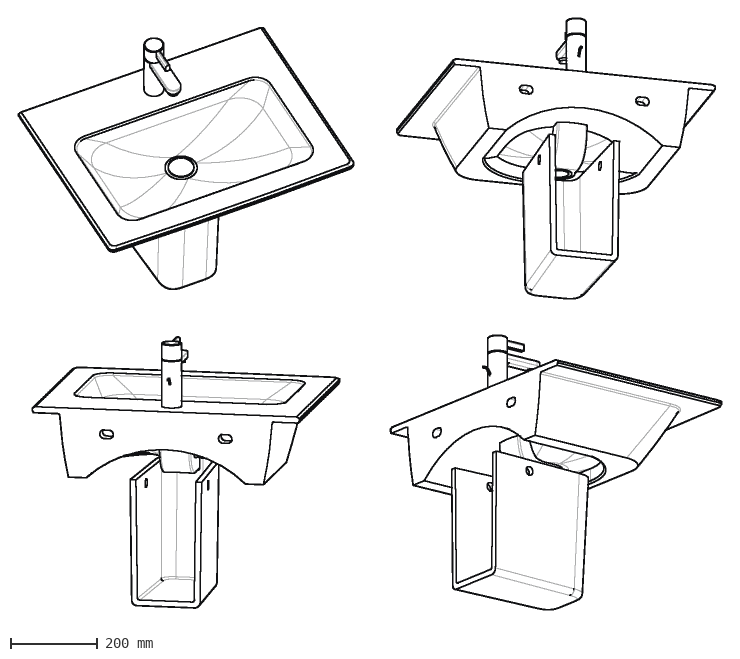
import cadquery as cq


deck_depth = 490.5
deck_half_width = 315.0
deck_bow = 4.0
deck_corner_radius = 12.5
deck_thickness = 14.5
deck_levels = [(0, 7.0), (-4.0, 0), (-9.0, 0), (-deck_thickness, 2.5)]

basin_bottom = -163.0
shell_depth = 432.0
shell_half_width = 251.0
shell_sections = [
    (-deck_thickness, shell_depth, shell_half_width, 50.5),
    (-80.5, 392.5, 244.5, 63.0),
    (basin_bottom, 336.5, 230.0, 69.5),
]
shell_joint_radius = 4.5
joint_margin = 3.0

bowl_back = 133.0
bowl_front = 428.0
bowl_half_width = 250.0
bowl_corner_radius = 40.5
bowl_lip = 4.5
drain_x = 212.5
drain_radius = 37.0
drain_outlet_radius = 36.5
drain_depth = 128.0
bowl_sections = [
    (
        -bowl_lip,
        bowl_back + bowl_lip,
        bowl_front - bowl_lip,
        bowl_half_width - bowl_lip,
        bowl_corner_radius - bowl_lip,
    ),
    (-41.5, 138.0, 397.0, 217.5, 60.0),
    (-97.0, 151.0, 338.5, 145.0, 57.0),
    (-drain_depth, drain_x - drain_radius, drain_x + drain_radius, drain_radius, drain_outlet_radius),
]
bowl_wall = 12.5

arch_top = -89.5
arch_half_width = 188.0
recess_depth = 312.0
recess_corner_radius = 151.0
recess_chamfer = 4.5

duct_half_width = drain_outlet_radius
duct_back = 101.0
duct_top = -82.0
duct_bottom = -176.0
duct_edge_radius = 4.0

slot_length = 31.5
slot_height = 20.0
slot_y = 140.0
slot_z = -58.5
slot_depth = 31.5

drain_flange_thickness = 6.0
drain_tube_diameter = 60.0
drain_bore_diameter = 44.0
plug_diameter = 60.0
plug_edge_height = 2.5
plug_rise = 6.0

pedestal_top = basin_bottom
pedestal_bottom = -460.0
pedestal_wall = 14.0
pedestal_flat_half_width = 30.0
pedestal_upper = (pedestal_top, 84.5, 74.5, 249.5, 298.0)
pedestal_lower = (pedestal_bottom, 80.5, 72.5, 236.0, 280.0)
pedestal_edge_radius = 13.0
pedestal_inner_edge_radius = 5.0
pedestal_hole_diameter = 20.0
pedestal_hole_x = 100.0
pedestal_hole_z = -190.0

tap_x = 69.0
tap_diameter = 46.0
tap_height = 109.5
spout_width = 35.0
spout_tip_x = 170.0
spout_thickness = 18.0
spout_lower_radius = 7.5
spout_upper_radius = 1.0
spout_root_size = 5.0
aerator_diameter = 23.5
aerator_drop = 6.0
aerator_inset = 4.0
handle_top = 149.5
handle_edge = 2.0
lever_end_x = 142.5
lever_width = 11.0
lever_height = 17.0
lever_drop = 0.5
lever_edge_radius = 4.5
rod_diameter = 4.0
rod_path = [(26.5, 70.0), (37.0, 70.0), (51.5, 50.5)]


def deck_outline(height, inset):
    front = deck_depth - deck_bow - inset
    side = deck_half_width - inset
    return (
        cq.Workplane("XY", origin=(0, 0, height))
        .moveTo(0, -side)
        .lineTo(front - deck_corner_radius, -side)
        .radiusArc((front, -side + deck_corner_radius), -deck_corner_radius)
        .threePointArc((front + deck_bow, 0), (front, side - deck_corner_radius))
        .radiusArc((front - deck_corner_radius, side), -deck_corner_radius)
        .lineTo(0, side)
        .close()
        .val()
    )


def shell_outline(height, depth, half_width, radius):
    return (
        cq.Workplane("XY", origin=(0, 0, height))
        .moveTo(0, -half_width)
        .lineTo(depth - radius, -half_width)
        .radiusArc((depth, -half_width + radius), -radius)
        .lineTo(depth, half_width - radius)
        .radiusArc((depth - radius, half_width), -radius)
        .lineTo(0, half_width)
        .close()
        .val()
    )


def bowl_outline(height, back, front, half_width, radius):
    return (
        cq.Workplane("XY", origin=(0, 0, height))
        .moveTo(back + radius, -half_width)
        .lineTo(front - radius, -half_width)
        .radiusArc((front, -half_width + radius), -radius)
        .lineTo(front, half_width - radius)
        .radiusArc((front - radius, half_width), -radius)
        .lineTo(back + radius, half_width)
        .radiusArc((back, half_width - radius), -radius)
        .lineTo(back, -half_width + radius)
        .radiusArc((back + radius, -half_width), -radius)
        .close()
        .val()
    )


def loft(outlines, ruled=False):
    return cq.Workplane(obj=cq.Solid.makeLoft(outlines, ruled))


def make_bowl(growth):
    """Bowl volume, enlarged by `growth` sideways and downwards."""
    outlines = [
        bowl_outline(height - growth, back - growth, front + growth, half_width + growth, radius + growth)
        for height, back, front, half_width, radius in bowl_sections
    ]
    rim_wall = loft(outlines[:2])
    floor = loft(outlines[1:])
    return rim_wall.union(floor)


def make_lip():
    rim = bowl_outline(0, bowl_back, bowl_front, bowl_half_width, bowl_corner_radius)
    return loft([rim, bowl_outline(*bowl_sections[0])], ruled=True)


def make_recess():
    arch = (
        cq.Workplane("YZ")
        .moveTo(-arch_half_width, basin_bottom)
        .threePointArc((0, arch_top), (arch_half_width, basin_bottom))
        .close()
        .extrude(recess_depth + recess_chamfer)
    )
    plan = (
        cq.Workplane("XY", origin=(0, 0, basin_bottom))
        .rect(2 * recess_depth, 2 * arch_half_width)
        .extrude(arch_top - basin_bottom)
        .edges("|Z and >X")
        .fillet(recess_corner_radius)
    )
    chamfer = plan.faces("<Z").wires().toPending().workplane().offset2D(recess_chamfer)
    chamfer = chamfer.extrude(-recess_chamfer, taper=45)
    return arch.intersect(plan.union(chamfer)).cut(make_bowl(bowl_wall))


def make_duct():
    """Overflow duct: its back curves down and forward to the drain outlet."""
    curve_end = drain_x - drain_radius
    duct = (
        cq.Workplane("XZ", origin=(0, duct_half_width, 0))
        .moveTo(duct_back, duct_top)
        .spline([(curve_end, duct_bottom)], tangents=[(0, -1), (1, 0)], includeCurrent=True)
        .lineTo(drain_x, duct_bottom)
        .lineTo(drain_x, duct_top)
        .close()
        .extrude(2 * duct_half_width)
        .faces("<X")
        .edges("not |Y")
        .fillet(duct_edge_radius)
    )
    outlet = (
        cq.Workplane("XY", origin=(drain_x, 0, duct_bottom))
        .circle(drain_outlet_radius)
        .extrude(duct_top - duct_bottom)
    )
    return duct.union(outlet)


def make_wall_slots():
    return (
        cq.Workplane("YZ")
        .pushPoints([(-slot_y, slot_z), (slot_y, slot_z)])
        .slot2D(slot_length, slot_height)
        .extrude(slot_depth)
    )


def make_drain_body():
    flange = (
        cq.Workplane("XY", origin=(drain_x, 0, -drain_depth))
        .circle(drain_radius)
        .extrude(-drain_flange_thickness)
    )
    tube = (
        cq.Workplane("XY", origin=(drain_x, 0, -drain_depth))
        .circle(drain_tube_diameter / 2)
        .extrude(duct_bottom + drain_depth)
    )
    return flange.union(tube)


def make_basin():
    shell = loft([shell_outline(*section) for section in shell_sections])
    deck = loft([deck_outline(*level) for level in deck_levels], ruled=True)
    basin = deck.union(shell)
    joint = cq.selectors.BoxSelector(
        (joint_margin, -shell_half_width - joint_margin, -deck_thickness - joint_margin),
        (shell_depth + joint_margin, shell_half_width + joint_margin, -deck_thickness + joint_margin),
    )
    basin = basin.edges(joint).fillet(shell_joint_radius)
    basin = basin.cut(make_recess()).union(make_duct())
    basin = basin.cut(make_bowl(0)).cut(make_lip())
    return basin.cut(make_wall_slots()).cut(make_drain_body())


def make_drain_ring():
    bore = (
        cq.Workplane("XY", origin=(drain_x, 0, duct_bottom))
        .circle(drain_bore_diameter / 2)
        .extrude(-drain_depth - duct_bottom)
    )
    return make_drain_body().cut(bore)


def make_plug():
    """Shallow domed cap resting on the drain flange."""
    plug_radius = plug_diameter / 2
    dome_height = plug_rise - plug_edge_height
    dome_radius = (plug_radius**2 + dome_height**2) / (2 * dome_height)
    return (
        cq.Workplane("XZ", origin=(drain_x, 0, -drain_depth))
        .lineTo(plug_radius, 0)
        .lineTo(plug_radius, plug_edge_height)
        .radiusArc((0, plug_rise), -dome_radius)
        .close()
        .revolve(360, (0, 0, 0), (0, 1, 0))
    )


def pedestal_outline(section, wall=0.0):
    height, back_half_width, corner_half_width, corner_start, front = section
    back_y = back_half_width - wall
    corner_y = corner_half_width - wall
    front_x = front - wall
    flat_y = pedestal_flat_half_width
    slope = (back_half_width - corner_half_width) / corner_start
    return (
        cq.Workplane("XY", origin=(0, 0, height))
        .moveTo(0, -back_y)
        .lineTo(corner_start, -corner_y)
        .spline([(front_x, -flat_y)], tangents=[(1, slope), (0, 1)], includeCurrent=True)
        .lineTo(front_x, flat_y)
        .spline([(corner_start, corner_y)], tangents=[(0, 1), (-1, slope)], includeCurrent=True)
        .lineTo(0, back_y)
        .close()
        .val()
    )


def make_pedestal():
    outer = loft([pedestal_outline(pedestal_lower), pedestal_outline(pedestal_upper)], ruled=True)
    outer = outer.edges("<Z").edges("not <X").fillet(pedestal_edge_radius)
    inner = loft(
        [pedestal_outline(pedestal_lower, pedestal_wall), pedestal_outline(pedestal_upper, pedestal_wall)],
        ruled=True,
    )
    floor = (
        cq.Workplane("XY", origin=(0, 0, pedestal_bottom))
        .rect(2 * deck_depth, 2 * deck_half_width)
        .extrude(pedestal_wall)
    )
    inner = inner.cut(floor)
    inner = inner.edges("<Z").edges("not <X").fillet(pedestal_inner_edge_radius)
    holes = (
        cq.Workplane("XZ", origin=(pedestal_hole_x, deck_half_width, pedestal_hole_z))
        .circle(pedestal_hole_diameter / 2)
        .extrude(2 * deck_half_width)
    )
    return outer.cut(inner).cut(holes)


def make_aerator():
    return (
        cq.Workplane("XY", origin=(spout_tip_x, 0, tap_height - spout_thickness - aerator_drop))
        .circle(aerator_diameter / 2)
        .extrude(aerator_drop + aerator_inset)
    )


def make_rod():
    return (
        cq.Workplane("YZ", origin=(rod_path[0][0], 0, rod_path[0][1]))
        .circle(rod_diameter / 2)
        .sweep(cq.Workplane("XZ").polyline(rod_path), transition="round")
    )


def make_spout_root():
    """Conical collar round the column, kept only beneath the spout."""
    underside = tap_height - spout_thickness
    strip_width = spout_width - 2 * spout_lower_radius
    collar = (
        cq.Workplane("XY", origin=(tap_x, 0, underside))
        .circle(tap_diameter / 2 + spout_root_size)
        .extrude(-spout_root_size, taper=45)
    )
    strip = (
        cq.Workplane("XY", origin=(tap_x, 0, underside - spout_root_size))
        .box(tap_diameter, strip_width, spout_root_size, centered=(False, True, False))
    )
    return collar.intersect(strip)


def make_tap():
    column = cq.Workplane("XY", origin=(tap_x, 0, 0)).circle(tap_diameter / 2).extrude(tap_height)
    spout = (
        cq.Workplane("XY", origin=(0, 0, tap_height - spout_thickness))
        .moveTo(tap_x, -spout_width / 2)
        .lineTo(spout_tip_x, -spout_width / 2)
        .radiusArc((spout_tip_x, spout_width / 2), -spout_width / 2)
        .lineTo(tap_x, spout_width / 2)
        .close()
        .extrude(spout_thickness)
        .edges("<Z")
        .edges("not <X")
        .fillet(spout_lower_radius)
        .edges(">Z")
        .edges("not <X")
        .fillet(spout_upper_radius)
    )
    body = column.union(spout).union(make_spout_root())
    return body.cut(make_aerator()).cut(make_rod())


def make_handle():
    cap = (
        cq.Workplane("XY", origin=(tap_x, 0, tap_height))
        .circle(tap_diameter / 2)
        .extrude(handle_top - tap_height)
        .faces("<Z or >Z")
        .chamfer(handle_edge)
    )
    lever = (
        cq.Workplane("XY", origin=(tap_x, 0, handle_top - lever_drop - lever_height))
        .box(lever_end_x - tap_x, lever_width, lever_height, centered=(False, True, False))
        .edges("|X and >Z")
        .fillet(lever_edge_radius)
    )
    return cap.union(lever)


basin = make_basin()
drain_ring = make_drain_ring()
plug = make_plug()
pedestal = make_pedestal()
tap = make_tap()
handle = make_handle()
aerator = make_aerator()
rod = make_rod()

result = cq.Compound.makeCompound([
    basin.val(), drain_ring.val(), plug.val(), pedestal.val(),
    tap.val(), handle.val(), aerator.val(), rod.val(),
])